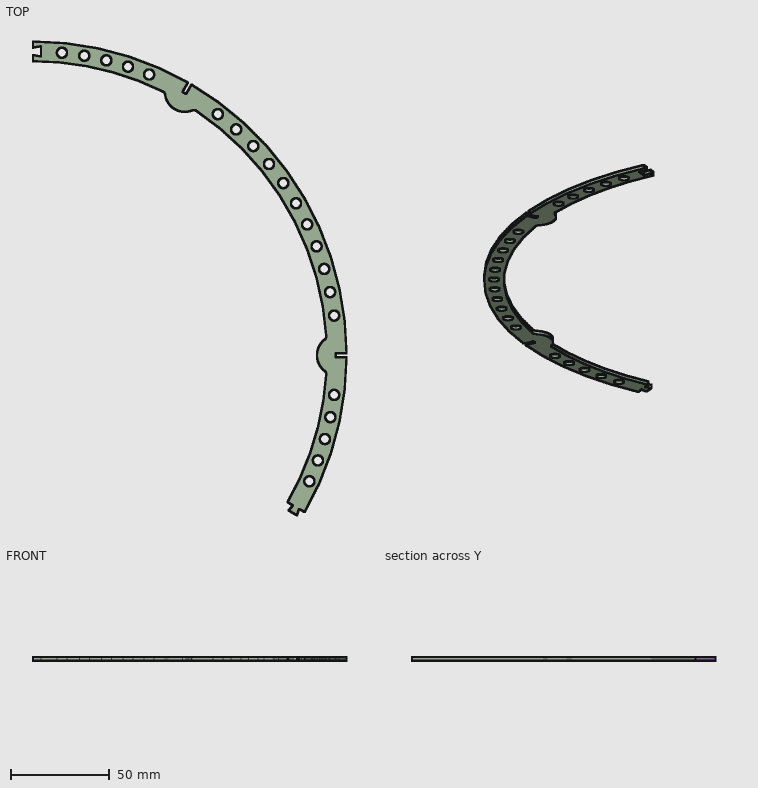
import cadquery as cq
import math

OUTER_RADIUS = 158.5
WIDTH = 10.0
THICKNESS = 2.0
START_ANGLE = -30
END_ANGLE = 90
INNER_RADIUS = OUTER_RADIUS - WIDTH
MIDDLE_RADIUS = OUTER_RADIUS - WIDTH / 2

DOVETAIL_WIDE = 5.0
DOVETAIL_NARROW = 3.5
TAB_LENGTH = 3.4
NOTCH_DEPTH = 4.0

STATION_ANGLES = (0, 60)
BUMP_RADIUS = 10.0
BUMP_FILLET = 2.0
SLOT_WIDTH = THICKNESS
SLOT_DEPTH = 5.5

HOLE_DIAMETER = 5.0
END_HOLE_COUNT = 5
END_HOLE_STEP_ANGLE = 4.25
SPAN_HOLE_COUNT = 11
SPAN_HOLE_STEP_ANGLE = 4.5
STATION_TO_HOLE_ANGLE = 7.5


def polar(radius, angle):
    """Point at a radius and an angle in degrees."""
    return radius * math.cos(math.radians(angle)), radius * math.sin(math.radians(angle))


def make_band():
    """Flat ring segment between the two end angles."""
    middle_angle = (START_ANGLE + END_ANGLE) / 2
    return (
        cq.Workplane("XY")
        .moveTo(*polar(OUTER_RADIUS, START_ANGLE))
        .threePointArc(polar(OUTER_RADIUS, middle_angle), polar(OUTER_RADIUS, END_ANGLE))
        .lineTo(*polar(INNER_RADIUS, END_ANGLE))
        .threePointArc(polar(INNER_RADIUS, middle_angle), polar(INNER_RADIUS, START_ANGLE))
        .close()
        .extrude(THICKNESS)
    )


def add_bumps(body):
    """Round bumps, with the corners where they meet the inner edge blended."""
    centers = [polar(MIDDLE_RADIUS, angle) for angle in STATION_ANGLES]
    bumps = cq.Workplane("XY").pushPoints(centers).circle(BUMP_RADIUS).extrude(THICKNESS)
    bumps = bumps.intersect(cq.Workplane("XY").circle(MIDDLE_RADIUS).extrude(THICKNESS))
    body = body.union(bumps)
    squares = MIDDLE_RADIUS**2 + INNER_RADIUS**2 - BUMP_RADIUS**2
    crossing_angle = math.degrees(math.acos(squares / (2 * MIDDLE_RADIUS * INNER_RADIUS)))
    for station in STATION_ANGLES:
        for angle in (station - crossing_angle, station + crossing_angle):
            corner = polar(INNER_RADIUS, angle)
            selector = cq.selectors.NearestToPointSelector((*corner, THICKNESS / 2))
            body = body.edges("|Z").edges(selector).fillet(BUMP_FILLET)
    return body


def cut_slots(body):
    """Narrow slots running in from the outer edge; twice their depth clears that edge."""
    for angle in STATION_ANGLES:
        slot = (
            cq.Workplane("XY")
            .center(OUTER_RADIUS, 0)
            .rect(2 * SLOT_DEPTH, SLOT_WIDTH)
            .extrude(THICKNESS)
            .rotate((0, 0, 0), (0, 0, 1), angle)
        )
        body = body.cut(slot)
    return body


def dovetail(angle, length):
    """Dovetail widening clockwise from the radial line at the given angle."""
    outline = [
        (MIDDLE_RADIUS - DOVETAIL_NARROW / 2, 0),
        (MIDDLE_RADIUS - DOVETAIL_WIDE / 2, -length),
        (MIDDLE_RADIUS + DOVETAIL_WIDE / 2, -length),
        (MIDDLE_RADIUS + DOVETAIL_NARROW / 2, 0),
    ]
    return cq.Workplane("XY").polyline(outline).close().extrude(THICKNESS).rotate((0, 0, 0), (0, 0, 1), angle)


def add_joint(body):
    """Tab at the start of the segment and matching notch at its end."""
    tab = dovetail(START_ANGLE, TAB_LENGTH)
    notch = dovetail(END_ANGLE, NOTCH_DEPTH)
    return body.union(tab).cut(notch)


def hole_angles():
    """Angles of the holes: one row beyond each station and one row between them."""
    first, last = STATION_ANGLES
    below = [first - STATION_TO_HOLE_ANGLE - i * END_HOLE_STEP_ANGLE for i in range(END_HOLE_COUNT)]
    between = [first + STATION_TO_HOLE_ANGLE + i * SPAN_HOLE_STEP_ANGLE for i in range(SPAN_HOLE_COUNT)]
    above = [last + STATION_TO_HOLE_ANGLE + i * END_HOLE_STEP_ANGLE for i in range(END_HOLE_COUNT)]
    return below + between + above


def drill_holes(body):
    """Through holes on the middle radius."""
    centers = [polar(MIDDLE_RADIUS, angle) for angle in hole_angles()]
    drills = cq.Workplane("XY").pushPoints(centers).circle(HOLE_DIAMETER / 2).extrude(THICKNESS)
    return body.cut(drills)


result = drill_holes(add_joint(cut_slots(add_bumps(make_band()))))